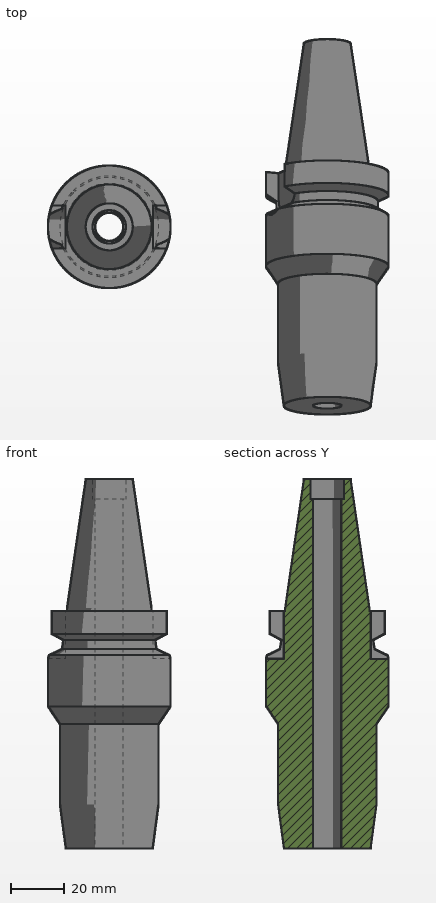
import cadquery as cq
import math

body_length = 90.0
taper_length = 48.4
overall_length = body_length + taper_length

gauge_diameter = 31.75
taper_ratio = 7.0 / 24.0
small_end_diameter = gauge_diameter - taper_ratio * taper_length
collar_length = 1.0

flange_diameter = 46.0
flange_top = body_length - collar_length
groove_center = body_length - 13.6
groove_mouth_width = 8.0
groove_floor_diameter = 38.1
groove_wall_angle = 30.0

shoulder_top = 53.3
body_top = 46.6
body_diameter = 37.0
nose_cone_length = 16.5
nose_diameter = 32.6

bore_diameter = 10.5
counterbore_diameter = 12.5
counterbore_depth = 7.5

slot_width = 16.1
slot_floor_distance = 16.3
slot_depth = 17.9


def make_body():
    """Revolve the outside profile about Z."""
    flange_radius = flange_diameter / 2
    floor_radius = groove_floor_diameter / 2
    wall_height = (flange_radius - floor_radius) * math.tan(math.radians(groove_wall_angle))
    mouth_top = groove_center + groove_mouth_width / 2
    mouth_bottom = groove_center - groove_mouth_width / 2

    profile = [
        (0, 0),
        (nose_diameter / 2, 0),
        (body_diameter / 2, nose_cone_length),
        (body_diameter / 2, body_top),
        (flange_radius, shoulder_top),
        (flange_radius, mouth_bottom),
        (floor_radius, mouth_bottom + wall_height),
        (floor_radius, mouth_top - wall_height),
        (flange_radius, mouth_top),
        (flange_radius, flange_top),
        (gauge_diameter / 2, flange_top),
        (gauge_diameter / 2, body_length),
        (small_end_diameter / 2, overall_length),
        (0, overall_length),
    ]
    return cq.Workplane("XZ").polyline(profile).close().revolve(360, (0, 0, 0), (0, 1, 0))


def cut_bore(body):
    """Bore through the whole part, widened at the small end of the taper."""
    mouth = body.faces(">Z").workplane()
    return mouth.cboreHole(bore_diameter, counterbore_diameter, counterbore_depth)


def make_slot_cutter(side):
    """Round-ended slot open at the flange top; side is +1 for +X or -1 for -X."""
    slot_radius = slot_width / 2
    slot_bottom = flange_top - slot_depth
    arc_start = slot_bottom + slot_radius
    return (
        cq.Workplane("YZ", origin=(side * slot_floor_distance, 0, 0))
        .moveTo(-slot_radius, flange_top)
        .lineTo(-slot_radius, arc_start)
        .threePointArc((0, slot_bottom), (slot_radius, arc_start))
        .lineTo(slot_radius, flange_top)
        .close()
        .extrude(side * flange_diameter / 2)
    )


result = cut_bore(make_body())
for side in (1, -1):
    result = result.cut(make_slot_cutter(side))